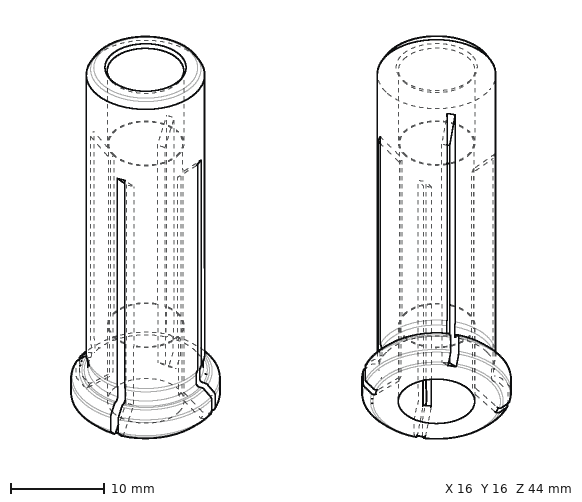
import cadquery as cq
import math

total_height = 44.0
body_radius = 12.7 / 2
chamfer_angle = 30.0
tip_chamfer_height = 0.95
tip_chamfer_depth = tip_chamfer_height * math.tan(math.radians(chamfer_angle))

flange_radius = 8.0
flange_height = 4.05
flange_chamfer = 1.0
edge_round = 0.4

neck_radius = 6.2
neck_taper_bottom = 5.65
neck_taper_top = 6.2
neck_fillet = 0.4

bore_radius = 7.94 / 2
mouth_radius = 8.2 / 2
mouth_depth = 10.0
mouth_chamfer_width = 0.25
mouth_chamfer_height = mouth_chamfer_width / math.tan(math.radians(chamfer_angle))
foot_radius = mouth_radius
foot_depth = mouth_depth

slot_count = 4
slot_width = 0.9
slot_top = 33.4
slot_top_angle = 45.0
slot_foot_radius = 6.7
slot_foot_angle = 41.0


def make_outer_body():
    """Solid of revolution: flange, neck and sleeve, without the bore."""
    fillet_top = flange_height + neck_fillet
    fillet_centre = neck_radius + neck_fillet
    arc_offset = neck_fillet * math.sqrt(0.5)
    profile = (
        cq.Workplane("XZ")
        .moveTo(0, 0)
        .lineTo(flange_radius - flange_chamfer, 0)
        .lineTo(flange_radius, flange_chamfer)
        .lineTo(flange_radius, flange_height - flange_chamfer)
        .lineTo(flange_radius - flange_chamfer, flange_height)
        .lineTo(fillet_centre, flange_height)
        .threePointArc((fillet_centre - arc_offset, fillet_top - arc_offset), (neck_radius, fillet_top))
        .lineTo(neck_radius, neck_taper_bottom)
        .lineTo(body_radius, neck_taper_top)
        .lineTo(body_radius, total_height - tip_chamfer_height)
        .lineTo(body_radius - tip_chamfer_depth, total_height)
        .lineTo(0, total_height)
        .close()
    )
    return profile.revolve(360, (0, 0, 0), (0, 1, 0))


def round_rims(body):
    """Round the rim of the sleeve tip and all four rims of the flange."""
    body = body.faces(">Z").edges().fillet(edge_round)
    reach = 2 * flange_radius
    flange_zone = cq.selectors.BoxSelector(
        (-reach, -reach, -flange_height),
        (reach, reach, flange_height + neck_fillet / 2),
        boundingbox=True,
    )
    smallest_rim = flange_radius - flange_chamfer
    largest_fillet_edge = neck_radius + neck_fillet
    rim_limit = (smallest_rim + largest_fillet_edge) / 2
    flange_rims = body.edges(flange_zone).edges("%CIRCLE").filter(lambda edge: edge.radius() > rim_limit)
    return flange_rims.fillet(edge_round)


def make_bore():
    """Stepped bore, wider at both ends and chamfered at the top."""
    mouth_bottom = total_height - mouth_depth
    profile = (
        cq.Workplane("XZ")
        .moveTo(0, 0)
        .lineTo(foot_radius, 0)
        .lineTo(foot_radius, foot_depth)
        .lineTo(bore_radius, foot_depth)
        .lineTo(bore_radius, mouth_bottom)
        .lineTo(mouth_radius, mouth_bottom)
        .lineTo(mouth_radius, total_height - mouth_chamfer_height)
        .lineTo(mouth_radius + mouth_chamfer_width, total_height)
        .lineTo(0, total_height)
        .close()
    )
    return profile.revolve(360, (0, 0, 0), (0, 1, 0))


def make_slot():
    """One radial slot along +X; both ends slope towards its middle going inwards."""
    inner = bore_radius / 2
    outer = flange_radius + slot_width
    top_slope = math.tan(math.radians(slot_top_angle))
    foot_slope = math.tan(math.radians(slot_foot_angle))

    def upper_end(radius):
        return slot_top + (radius - body_radius) * top_slope

    def lower_end(radius):
        return (slot_foot_radius - radius) * foot_slope

    return (
        cq.Workplane("XZ")
        .moveTo(inner, lower_end(inner))
        .lineTo(outer, lower_end(outer))
        .lineTo(outer, upper_end(outer))
        .lineTo(inner, upper_end(inner))
        .close()
        .extrude(slot_width / 2, both=True)
    )


result = round_rims(make_outer_body()).cut(make_bore())
for index in range(slot_count):
    angle = index * 360.0 / slot_count
    result = result.cut(make_slot().rotate((0, 0, 0), (0, 0, 1), angle))